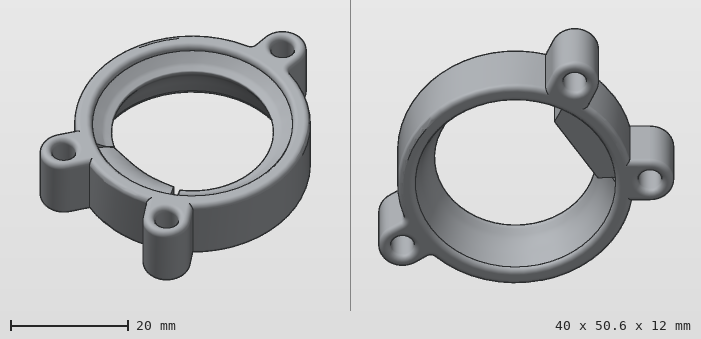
import cadquery as cq
import math

height = 12.0
ring_radius = 20.0
bore_radius = 17.0
edge_round = 1.0

lug_distance = 22.85
lug_radius = 4.05
lug_hole_radius = 4.0 / 2
lower_lug_angle = 30.9
lower_arm_angle = 33.0
corner_round = 1.0
hole_round = lug_radius - edge_round - lug_hole_radius

seat_bottom = edge_round
seat_top = height - edge_round
gap_angle = lower_lug_angle
gap_width = 1.0

funnel_radius = 14.95
funnel_drop = 1.35
shoulder_radius = 14.15
shoulder_drop = 1.6
lip_radius = 13.75
lip_top_drop = 1.8
lip_bottom_drop = 2.2
upper_flare_radius = 14.65
upper_flare_drop = 3.75
lower_flare_radius = 15.7
lower_flare_drop = 6.15
flare_end_slope = 20.0

segment_flat = 12.3
ridge_radius = 14.05
ridge_drop = 0.9
nose_radius = 12.15
nose_drop = 2.45


def polar(distance, angle):
    """Point at a distance from the axis, at an angle in degrees clockwise from +Y."""
    turn = math.radians(angle)
    return (distance * math.sin(turn), distance * math.cos(turn))


def revolve_about_z(profile):
    return profile.close().revolve(360, (0, 0, 0), (0, 1, 0))



lug_centres = [polar(lug_distance, a) for a in (0, 180 - lower_lug_angle, 180 + lower_lug_angle)]
arm_angles = [0, 180 - lower_arm_angle, 180 + lower_arm_angle]


def make_lug(centre, arm_angle):
    """Round boss with a straight arm of the same width that runs back into the ring."""
    arm_length = lug_distance - bore_radius
    arm = (
        cq.Workplane("XY")
        .box(2 * lug_radius, arm_length, height, centered=(True, False, False))
        .translate((0, -arm_length, 0))
        .rotate((0, 0, 0), (0, 0, 1), -arm_angle)
    )
    return cq.Workplane("XY").circle(lug_radius).extrude(height).union(arm).translate((*centre, 0))


def make_flared_hole(radius, flare):
    """Cutter for a through hole on the Z axis that opens in a quarter round at both ends."""
    mouth = radius + flare
    offset = flare * (1 - math.sqrt(0.5))
    return revolve_about_z(
        cq.Workplane("XZ")
        .lineTo(mouth, 0)
        .threePointArc((radius + offset, offset), (radius, flare))
        .lineTo(radius, height - flare)
        .threePointArc((radius + offset, height - offset), (mouth, height))
        .lineTo(0, height)
    )


def round_upper_lug_corners(body):
    """Fillet the two upright corners where the +Y arm meets the ring."""
    corner_y = math.sqrt(ring_radius**2 - lug_radius**2)
    for side in (-1, 1):
        corner = cq.selectors.NearestToPointSelector((side * lug_radius, corner_y, height / 2))
        body = body.edges("|Z").edges(corner).fillet(corner_round)
    return body


def make_housing():
    body = cq.Workplane("XY").circle(ring_radius).extrude(height)
    for centre, arm_angle in zip(lug_centres, arm_angles):
        body = body.union(make_lug(centre, arm_angle))
    body = round_upper_lug_corners(body)
    body = body.faces("<Z or >Z").edges().fillet(edge_round)
    body = body.cut(make_flared_hole(bore_radius, edge_round))
    lug_hole = make_flared_hole(lug_hole_radius, hole_round)
    for centre in lug_centres:
        body = body.cut(lug_hole.translate((*centre, 0)))
    return body




def make_sector(shift):
    """Wedge on the -Y side with its sides moved out by a shift from the two gap centre lines."""
    turn = math.radians(gap_angle)
    depth = 2 * ring_radius
    half_base = depth * math.tan(turn)
    apex_y = shift / math.sin(turn)
    return (
        cq.Workplane("XY")
        .polyline([(0, apex_y), (half_base, apex_y - depth), (-half_base, apex_y - depth)])
        .close()
        .extrude(height)
    )


def make_split_ring():
    section = [
        (bore_radius, seat_top),
        (funnel_radius, seat_top - funnel_drop),
        (shoulder_radius, seat_top - shoulder_drop),
        (lip_radius, seat_top - lip_top_drop),
        (lip_radius, seat_top - lip_bottom_drop),
        (upper_flare_radius, seat_top - upper_flare_drop),
        (lower_flare_radius, seat_top - lower_flare_drop),
        (bore_radius, seat_bottom),
    ]
    funnel_direction = (funnel_radius - bore_radius, -funnel_drop)
    flare_turn = math.radians(flare_end_slope)
    flare_direction = (math.sin(flare_turn), -math.cos(flare_turn))
    ring = revolve_about_z(
        cq.Workplane("XZ")
        .moveTo(*section[0])
        .spline(section[1:], tangents=[funnel_direction, flare_direction], includeCurrent=True)
    )
    return ring.cut(make_sector(gap_width / 2))


def make_segment():
    ring = revolve_about_z(
        cq.Workplane("XZ")
        .moveTo(bore_radius, seat_bottom)
        .lineTo(bore_radius, seat_top)
        .threePointArc((ridge_radius, seat_top - ridge_drop), (nose_radius, seat_top - nose_drop))
        .lineTo(nose_radius, seat_bottom)
    )
    beyond_flat = (
        cq.Workplane("XY")
        .box(2 * ring_radius, ring_radius, height, centered=(True, False, False))
        .translate((0, -ring_radius - segment_flat, 0))
    )
    return ring.intersect(make_sector(-gap_width / 2)).intersect(beyond_flat)


housing = make_housing()
split_ring = make_split_ring()
segment = make_segment()

bodies = [housing, split_ring, segment]
result = cq.Compound.makeCompound([body.solids().val() for body in bodies])